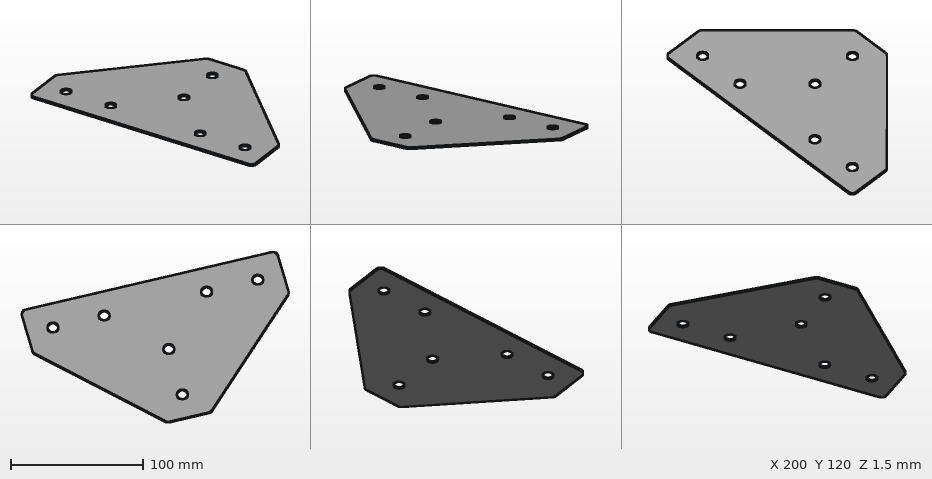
import cadquery as cq

length = 200.0
width = 120.0
thickness = 1.5
corner_radius = 4.0

top_edge_length = 34.0
slope_run = (length - top_edge_length) / 2
end_height = width - slope_run

hole_diameter = 8.2
hole_pitch = 40.0
edge_distance = 20.0


def plate():
    """Flat T plate, centred on X, with its long edge on Y = 0."""
    half_length = length / 2
    half_top = top_edge_length / 2
    outline = [
        (-half_length, 0),
        (half_length, 0),
        (half_length, end_height),
        (half_top, width),
        (-half_top, width),
        (-half_length, end_height),
    ]
    blank = cq.Workplane("XY").polyline(outline).close().extrude(thickness)
    return blank.edges("|Z").fillet(corner_radius)


def hole_centres():
    """Two holes along each arm of the T, leaving its junction solid."""
    crossbar = [(step * hole_pitch, edge_distance) for step in (-2, -1, 1, 2)]
    stem = [(0, edge_distance + step * hole_pitch) for step in (1, 2)]
    return crossbar + stem


holes = (
    cq.Workplane("XY")
    .pushPoints(hole_centres())
    .circle(hole_diameter / 2)
    .extrude(thickness)
)

result = plate().cut(holes)